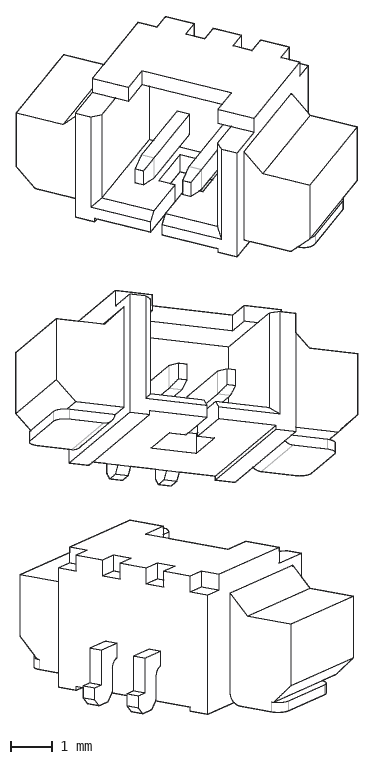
import cadquery as cq
import math


body_width = 4.27
body_depth = 4.2
body_height = 3.4
roof_thickness = 0.4
roof_setback = 1.0
roof_cut_width = 2.36
roof_cut_end = 1.8
wall_top = body_height - roof_thickness

cavity_width = 3.05
cavity_floor = 0.6
cavity_depth = 3.0
mouth_chamfer = 0.2

slot_width = 0.3
slot_depth = 1.45
floor_window_width = 1.16
floor_window_end = 2.7
standoff = 0.1
underside_width = 3.25

notch_size = 0.5

pitch = 1.25
contact_xs = (-pitch / 2, pitch / 2)
contact_width = 0.33
pin_height = 0.58
pin_center_z = 1.33
pin_tip_y = 0.4
pin_taper_length = 0.5
tip_width = 0.22
tip_height = 0.4
tail_top = 1.375
tail_thickness = 0.375
tail_front = body_depth + 0.2
tail_back = body_depth + 0.7
foot_end = body_depth + 1.0
foot_height = 0.5
foot_chamfer = 0.2
tail_bend_radius = 0.2

total_width = 7.75
ear_front = 0.4
ear_back = 3.2
ear_bottom = 0.25
ear_top = 2.3
ear_chamfer = 0.5
gusset_size = 0.5
tab_front = 1.0
tab_outer_x = 3.615
tab_corner_radius = 0.3
tab_bend_radius = 0.3


def block(x_min, x_max, y_min, y_max, z_min, z_max):
    """Axis-aligned box between the given limits."""
    size = (x_max - x_min, y_max - y_min, z_max - z_min)
    return cq.Workplane("XY").box(*size, centered=False).translate((x_min, y_min, z_min))


def centered_block(width, y_min, y_max, z_min, z_max, x_center=0):
    """Box centred across X on x_center."""
    return block(x_center - width / 2, x_center + width / 2, y_min, y_max, z_min, z_max)


def both_sides(half):
    """The shape together with its mirror image across X = 0."""
    return half.union(half.mirror("YZ"))


def mouth_bevel():
    """Tapered solid that flares the side walls and the floor at the mating face."""
    inner_height = 2 * (wall_top - cavity_floor)
    flare = 2 * mouth_chamfer
    return (
        cq.Workplane("XZ", origin=(0, 0, wall_top))
        .rect(cavity_width + flare, inner_height + flare)
        .workplane(offset=-mouth_chamfer)
        .rect(cavity_width, inner_height)
        .loft(ruled=True)
    )


def housing():
    """Open-fronted shell with its cavity, floor openings and roof notches."""
    body = centered_block(body_width, 0, body_depth, 0, body_height)
    body = body.cut(centered_block(body_width, 0, roof_setback, wall_top, body_height))
    body = body.cut(centered_block(roof_cut_width, 0, roof_cut_end, wall_top, body_height))
    body = body.cut(centered_block(cavity_width, 0, cavity_depth, cavity_floor, wall_top))
    body = body.cut(mouth_bevel())
    body = body.cut(centered_block(underside_width, 0, body_depth, 0, standoff))
    body = body.cut(centered_block(slot_width, 0, slot_depth, 0, cavity_floor))
    body = body.cut(centered_block(floor_window_width, slot_depth, floor_window_end, 0, cavity_floor))
    return body.cut(roof_notches())


def roof_notches():
    """Square notches above each contact and at both rear corners."""
    corner_x = (body_width - notch_size) / 2
    notches = cq.Workplane("XY")
    for x in (-corner_x, *contact_xs, corner_x):
        notches = notches.add(
            centered_block(notch_size, body_depth - notch_size, body_depth, wall_top, body_height, x)
        )
    return notches.combine()


def ear():
    """Block beside the housing, sloped up to the wall and bevelled underneath."""
    wall_x = body_width / 2
    outer_x = total_width / 2
    return (
        cq.Workplane("XZ", origin=(0, ear_front, 0))
        .moveTo(wall_x, ear_bottom)
        .lineTo(outer_x - ear_chamfer, ear_bottom)
        .lineTo(outer_x, ear_bottom + ear_chamfer)
        .lineTo(outer_x, ear_top)
        .lineTo(wall_x + gusset_size, ear_top)
        .lineTo(wall_x, ear_top + gusset_size)
        .close()
        .extrude(ear_front - ear_back)
    )


def solder_tab():
    """Flat tab under the ear, bent upward along its inner edge."""
    inner_x = body_width / 2
    bend_center_x = inner_x + tab_bend_radius
    bend_reach = math.sqrt(tab_bend_radius**2 - (tab_bend_radius - ear_bottom) ** 2)
    tab = (
        cq.Workplane("XZ", origin=(0, tab_front, 0))
        .moveTo(bend_center_x, 0)
        .lineTo(tab_outer_x, 0)
        .lineTo(tab_outer_x, ear_bottom)
        .lineTo(bend_center_x - bend_reach, ear_bottom)
        .radiusArc((bend_center_x, 0), -tab_bend_radius)
        .close()
        .extrude(tab_front - ear_back)
    )
    return tab.edges("|Z and >X").fillet(tab_corner_radius)


def contact(x):
    """Tapered pin in the cavity and bent solder tail behind the housing."""
    taper_y = pin_tip_y + pin_taper_length
    tip = (
        cq.Workplane("XZ", origin=(x, pin_tip_y, pin_center_z))
        .rect(tip_width, tip_height)
        .workplane(offset=-pin_taper_length)
        .rect(contact_width, pin_height)
        .loft(ruled=True)
    )
    pin_z = pin_center_z - pin_height / 2
    shank = centered_block(contact_width, taper_y, cavity_depth, pin_z, pin_z + pin_height, x)
    return shank.union(tip).union(solder_tail(x))


def solder_tail(x):
    """Strip from the back wall, bent down to a foot on the board plane."""
    tail_bottom = tail_top - tail_thickness
    return (
        cq.Workplane("YZ", origin=(x - contact_width / 2, 0, 0))
        .moveTo(cavity_depth, tail_top)
        .lineTo(tail_back, tail_top)
        .lineTo(tail_back, foot_height)
        .lineTo(foot_end, foot_height)
        .lineTo(foot_end, foot_chamfer)
        .lineTo(foot_end - foot_chamfer, 0)
        .lineTo(tail_front + foot_chamfer, 0)
        .lineTo(tail_front, foot_chamfer)
        .lineTo(tail_front, tail_bottom - tail_bend_radius)
        .radiusArc((tail_front - tail_bend_radius, tail_bottom), -tail_bend_radius)
        .lineTo(cavity_depth, tail_bottom)
        .close()
        .extrude(contact_width)
    )


result = housing().union(both_sides(ear().union(solder_tab())))
for contact_x in contact_xs:
    result = result.union(contact(contact_x))